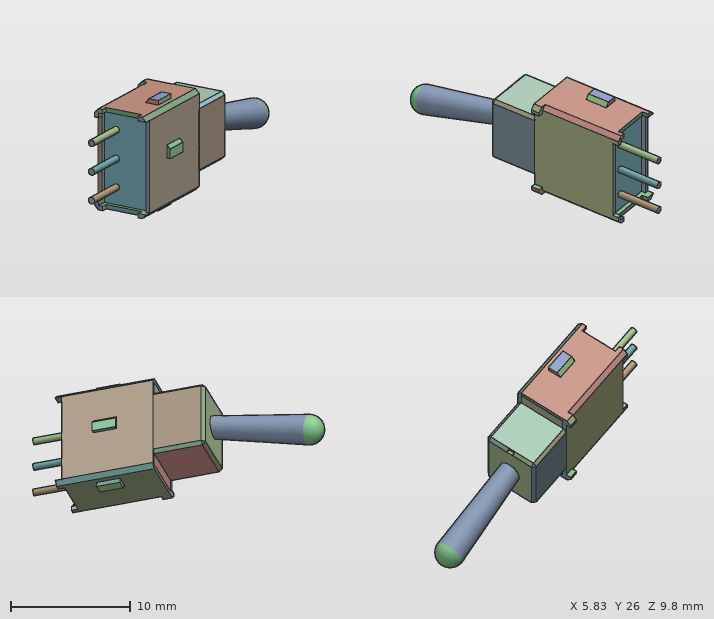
import cadquery as cq
import math


frame_width = 5.06
frame_height = 8.99
frame_length = 8.05
wall = 0.4
corner_chamfer = 0.4
half_height = frame_height / 2

foot_length = 0.57
foot_width = 0.8

ear_reach = 0.47
ear_drop = 0.7
ear_length = 0.8

tab_start = 3.2
tab_length = 2.05
tab_height = 0.403
tab_left = 2.95
tab_right = 4.2
tab_slope = 0.35
side_tab_reach = 0.3
side_tab_top = 1.12
side_tab_bottom = -0.05

floor_recess = 0.4
neck_width = 4.99
neck_height = 6.0
neck_length = 4.55
neck_chamfer = 0.29
notch_width = 0.57
pin_diameter = 0.6
pin_x = 1.55
pin_pitch = 2.55
pin_end = 11.69

lever_tilt = 13.0
lever_base_radius = 0.99
lever_tip_radius = 1.3
lever_rise = 9.75
lever_socket_depth = 1.55
lever_x = frame_width / 2
lever_axis_length = (lever_rise - lever_tip_radius) / math.cos(math.radians(lever_tilt))


def box(x_range, y_range, z_range):
    """Box between the given low and high limits."""
    limits = (x_range, y_range, z_range)
    sizes = [high - low for low, high in limits]
    corner = tuple(low for low, high in limits)
    return cq.Workplane("XY").box(*sizes, centered=False).translate(corner)


def prism(points, y_front, length):
    """Extrude an X-Z outline from y_front toward -Y."""
    return cq.Workplane("XZ", origin=(0, y_front, 0)).polyline(points).close().extrude(length)


def cavity(length):
    """Space between the frame walls, from the front end toward -Y."""
    return box(
        (wall, frame_width - wall),
        (-length, 0),
        (wall - half_height, half_height - wall),
    )


def both_ends(upper):
    """The given +Z feature together with its mirror copy at -Z."""
    return upper.union(upper.mirror("XY"))


def make_sleeve():
    total_length = frame_length + foot_length
    outer = (
        box((0, frame_width), (-total_length, 0), (-half_height, half_height))
        .edges("|Y")
        .chamfer(corner_chamfer)
    )
    sleeve = outer.cut(cavity(total_length))

    end_range = (-total_length, -frame_length)
    height_gap = box(
        (foot_width, frame_width - foot_width), end_range, (-half_height, half_height)
    )
    left_half_gap = half_height - foot_width
    left_gap = box((0, wall), end_range, (-left_half_gap, left_half_gap))
    right_half_gap = half_height - wall
    right_gap = box(
        (frame_width - wall, frame_width), end_range, (-right_half_gap, right_half_gap)
    )
    return sleeve.cut(height_gap).cut(left_gap).cut(right_gap)


def make_ears():
    outline = [
        (wall, half_height),
        (wall - ear_reach, half_height),
        (-ear_reach, half_height - wall),
        (-ear_reach, half_height - ear_drop),
        (wall, half_height - ear_drop),
    ]
    return both_ends(prism(outline, 0, ear_length).cut(cavity(ear_length)))


def make_tabs():
    top_outline = [
        (tab_left, half_height),
        (tab_left + tab_slope, half_height + tab_height),
        (tab_right, half_height + tab_height),
        (tab_right, half_height),
    ]
    side_face = frame_width + side_tab_reach
    side_outline = [
        (frame_width, side_tab_bottom),
        (side_face, side_tab_bottom),
        (side_face, side_tab_top - side_tab_reach),
        (frame_width, side_tab_top),
    ]
    top_and_bottom = both_ends(prism(top_outline, -tab_start, tab_length))
    return top_and_bottom.union(prism(side_outline, -tab_start, tab_length))


def make_frame():
    return make_sleeve().union(make_ears()).union(make_tabs())


def make_lever():
    """Round tapered lever with a domed tip, tilted toward -Z about the neck face."""
    taper = (lever_tip_radius - lever_base_radius) / lever_axis_length
    root_radius = lever_base_radius - taper * lever_socket_depth
    dome_diagonal = lever_tip_radius * math.sqrt(0.5)
    lever = (
        cq.Workplane("XY")
        .moveTo(0, -lever_socket_depth)
        .lineTo(root_radius, -lever_socket_depth)
        .lineTo(lever_tip_radius, lever_axis_length)
        .threePointArc(
            (dome_diagonal, lever_axis_length + dome_diagonal),
            (0, lever_axis_length + lever_tip_radius),
        )
        .close()
        .revolve(360, (0, 0), (0, 1))
    )
    return lever.rotate((0, 0, 0), (1, 0, 0), -lever_tilt).translate((lever_x, neck_length, 0))


def make_neck():
    half_neck = neck_height / 2
    neck = (
        box((0, neck_width), (0, neck_length), (-half_neck, half_neck))
        .edges("|Y or >Y")
        .chamfer(neck_chamfer)
    )
    notch = box(
        (lever_x - notch_width / 2, lever_x + notch_width / 2),
        (neck_length - neck_chamfer, neck_length),
        (half_neck - neck_chamfer, half_neck),
    )
    return neck.cut(notch)


def make_pins(floor_y):
    return (
        cq.Workplane("XZ", origin=(0, floor_y, 0))
        .pushPoints([(pin_x, row * pin_pitch) for row in (-1, 0, 1)])
        .circle(pin_diameter / 2)
        .extrude(pin_end + floor_y)
    )


def make_insulator(lever):
    """Block filling the frame, with the neck in front, the pins behind and a lever socket."""
    block_length = frame_length - floor_recess
    block = cavity(block_length)
    return block.union(make_neck()).union(make_pins(-block_length)).cut(lever)


frame = make_frame()
lever = make_lever()
insulator = make_insulator(lever)

result = cq.Compound.makeCompound([body.solids().val() for body in (frame, insulator, lever)])